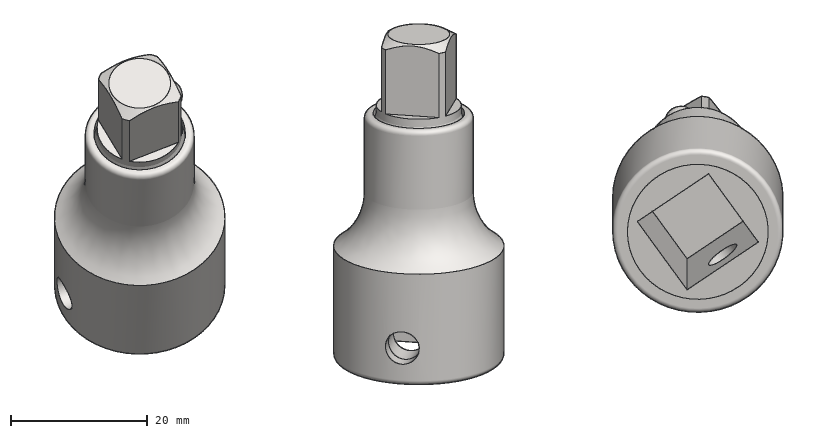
import cadquery as cq
import math

length = 50.3
body_radius = 12.5
neck_radius = 8.0
body_top = 17.4
neck_base = 25.8
rim_height = 38.05
edge_round = 0.75
rim_bore_radius = 6.7

core_radius = 10.3
core_top = 16.6
collar_radius = 6.25
collar_top = 39.3
taper_height = 1.5

square_side = 9.6
tip_flat_radius = 4.55
tip_chamfer_height = 1.05

socket_side = 12.75
socket_depth = 16.1
cross_hole_radius = 2.5
cross_hole_height = 5.85

ball_radius = 2.35
ball_offset = 4.35
ball_height = 44.75

flare_width = body_radius - neck_radius
flare_height = neck_base - body_top
flare_radius = (flare_width**2 + flare_height**2) / (2 * flare_width)
half_angle = math.asin(flare_height / flare_radius) / 2
flare_middle = (
    neck_radius + flare_radius * (1 - math.cos(half_angle)),
    neck_base - flare_radius * math.sin(half_angle),
)


def revolve_about_z(profile):
    """Revolve a closed XZ profile around the part's Z axis."""
    return profile.close().revolve(360, (0, 0, 0), (0, 1, 0))


def make_cross_hole():
    """Cylinder from the axis out through the -Y wall."""
    return (
        cq.Workplane("XZ")
        .center(0, cross_hole_height)
        .circle(cross_hole_radius)
        .extrude(length)
    )


def make_ball():
    return cq.Workplane("XY").sphere(ball_radius).translate((0, ball_offset, ball_height))


def make_sleeve():
    outside = revolve_about_z(
        cq.Workplane("XZ")
        .moveTo(0, 0)
        .lineTo(body_radius, 0)
        .lineTo(body_radius, body_top)
        .threePointArc(flare_middle, (neck_radius, neck_base))
        .lineTo(neck_radius, rim_height)
        .lineTo(0, rim_height)
    )
    outside = outside.faces("<Z or >Z").edges().fillet(edge_round)
    wide_bore = cq.Workplane("XY").circle(core_radius).extrude(core_top)
    rim_bore = cq.Workplane("XY").circle(rim_bore_radius).extrude(rim_height)
    return outside.cut(wide_bore).cut(rim_bore).cut(make_cross_hole())


def make_male_square():
    """Square bar with its corners rounded to the collar and a conical chamfer at its tip."""
    height = length - collar_top
    bar = cq.Workplane("XY", origin=(0, 0, collar_top)).rect(square_side, square_side).extrude(height)
    envelope = revolve_about_z(
        cq.Workplane("XZ")
        .moveTo(0, collar_top)
        .lineTo(collar_radius, collar_top)
        .lineTo(collar_radius, length - tip_chamfer_height)
        .lineTo(tip_flat_radius, length)
        .lineTo(0, length)
    )
    return bar.intersect(envelope)


def make_driver():
    """Core with a collar, a male square on top and a female square below."""
    core = revolve_about_z(
        cq.Workplane("XZ")
        .moveTo(0, 0)
        .lineTo(core_radius, 0)
        .lineTo(core_radius, core_top)
        .lineTo(rim_bore_radius, core_top)
        .lineTo(rim_bore_radius, rim_height - taper_height)
        .lineTo(collar_radius, rim_height)
        .lineTo(collar_radius, collar_top)
        .lineTo(0, collar_top)
    )
    socket = cq.Workplane("XY").rect(socket_side, socket_side).extrude(socket_depth)
    return core.union(make_male_square()).cut(socket).cut(make_cross_hole()).cut(make_ball())


sleeve = make_sleeve()
driver = make_driver()
ball = make_ball()

result = cq.Compound.makeCompound([sleeve.val(), driver.val(), ball.val()])